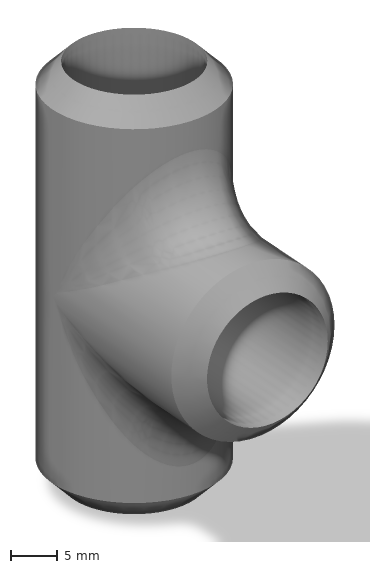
import cadquery as cq
import math

run_length = 50.8
overall_width = 36.05
outer_diameter = 21.3
bore_diameter = 15.75
crotch_reach = 19.45
blend_sink = 0.015

blend_half_steps = 6
blend_end_angle = 87.0

outer_radius = outer_diameter / 2
branch_reach = overall_width - outer_radius
bevel = (outer_diameter - bore_diameter) / 2
sunk_radius = outer_radius - blend_sink
blend_radius = crotch_reach - sunk_radius


def run_pipe(diameter):
    """Vertical cylinder over the full height of the tee."""
    return cq.Workplane("XY").circle(diameter / 2).extrude(run_length / 2, both=True)


def branch_pipe(diameter):
    """Cylinder from the tee centre out to the branch end."""
    return cq.Workplane("YZ").circle(diameter / 2).extrude(branch_reach)


def blend_section(angle):
    """Crotch cross-section, shrinking with the pipe's half-width towards its side."""
    scale = math.cos(angle)
    half_width = sunk_radius * scale
    reach = crotch_reach * scale
    mid_arc = reach - blend_radius * scale * math.sqrt(0.5)
    return (
        cq.Workplane("XZ", origin=(0, outer_radius * math.sin(angle), 0))
        .lineTo(half_width, reach)
        .threePointArc((mid_arc, mid_arc), (reach, half_width))
        .close()
        .val()
    )


def crotch_blend():
    """Smooth fillet between the run and the upper side of the branch."""
    angle_step = math.radians(blend_end_angle) / blend_half_steps
    steps = range(-blend_half_steps, blend_half_steps + 1)
    sections = [blend_section(step * angle_step) for step in steps]
    return cq.Workplane(cq.Solid.makeLoft(sections))


run = run_pipe(outer_diameter).faces("<Z or >Z").chamfer(bevel)
branch = branch_pipe(outer_diameter).faces(">X").chamfer(bevel)
upper_blend = crotch_blend()
lower_blend = upper_blend.mirror("XY")
body = run.union(branch).union(upper_blend).union(lower_blend)

result = body.cut(run_pipe(bore_diameter)).cut(branch_pipe(bore_diameter))